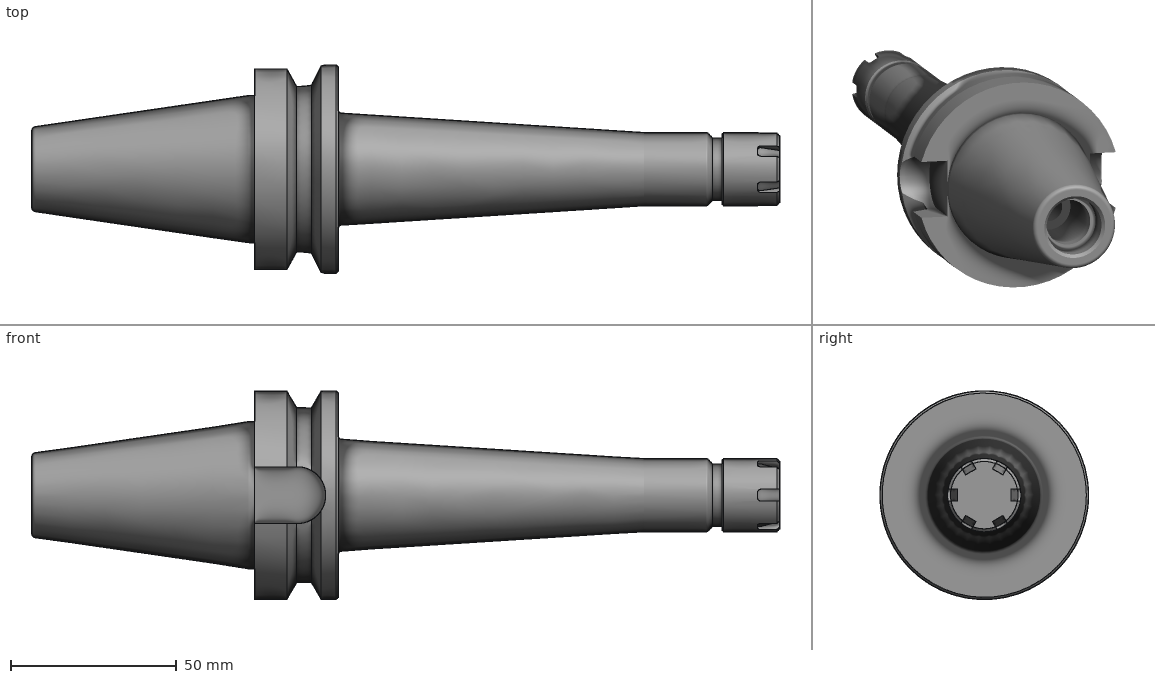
import cadquery as cq
import math

OVERALL_LENGTH = 225.5

TAPER_LENGTH = 65.5
GAUGE_RADIUS = 44.5 / 2
TAPER_RATE = 7 / 24 / 2
SMALL_END_RADIUS = GAUGE_RADIUS - TAPER_RATE * TAPER_LENGTH
SMALL_END_FILLET = 1.4

FLANGE_START = 67.2
FLANGE_END = 92.5
FLANGE_RADIUS = 63.0 / 2
FLANGE_EDGE_CHAMFER = 0.7
GROOVE_RADIUS = 26.4
GROOVE_FLOOR_START = 79.8
GROOVE_FLOOR_END = 84.3
GROOVE_FLANK_ANGLE = 30.0
GROOVE_FLANK_RUN = (FLANGE_RADIUS - GROOVE_RADIUS) * math.tan(math.radians(GROOVE_FLANK_ANGLE))

DRIVE_SLOT_WIDTH = 17.1
DRIVE_SLOT_FLOOR = GAUGE_RADIUS
DRIVE_SLOT_END = 88.6
DRIVE_SLOT_ANGLES = (90, 270)

EXTENSION_ROOT_RADIUS = 17.0
ROOT_FILLET = 1.0
NOSE_START = 184.7
NECK_START = 205.2
NOSE_RADIUS = 22.0 / 2
NECK_RADIUS = 19.0 / 2
NOSE_CHAMFER_ANGLE = math.radians(45)
NOSE_END = NECK_START - (NOSE_RADIUS - NECK_RADIUS) / math.tan(NOSE_CHAMFER_ANGLE)
NOSE_FILLET = 1.0
NOSE_FILLET_SETBACK = NOSE_FILLET * math.tan(NOSE_CHAMFER_ANGLE / 2)

MOUTH_RADIUS = 19.0 / 2
ENTRY_BORE_RADIUS = 17.1 / 2
ENTRY_BORE_DEPTH = 8.0
THREAD_BORE_RADIUS = 13.8 / 2
THREAD_BORE_DEPTH = 31.5
CORE_BORE_RADIUS = 8.5 / 2
CORE_BORE_DEPTH = 45.0

NUT_START = 208.1
NUT_RADIUS = NOSE_RADIUS
NUT_BACK_CHAMFER = 0.5
NUT_FRONT_CHAMFER = 1.0
WRENCH_SLOT_COUNT = 6
FIRST_WRENCH_SLOT_ANGLE = 90
WRENCH_SLOT_WIDTH = 3.5
WRENCH_SLOT_LENGTH = 6.8
WRENCH_SLOT_INNER_DEPTH = 1.0
WRENCH_SLOT_OUTER_DEPTH = 3.0
WRENCH_SLOT_CORNER_RADIUS = 1.1


def revolve_about_x(profile):
    """Turn a closed (x, radius) profile in the XY plane around the X axis."""
    return profile.close().revolve(360, (0, 0, 0), (1, 0, 0))


def make_shank_and_extension():
    """Solid of revolution: taper, grooved flange, tapered extension, nose and neck."""
    profile = (
        cq.Workplane("XY")
        .moveTo(0, 0)
        .lineTo(0, SMALL_END_RADIUS)
        .lineTo(TAPER_LENGTH, GAUGE_RADIUS)
        .lineTo(FLANGE_START, GAUGE_RADIUS)
        .lineTo(FLANGE_START, FLANGE_RADIUS)
        .lineTo(GROOVE_FLOOR_START - GROOVE_FLANK_RUN, FLANGE_RADIUS)
        .lineTo(GROOVE_FLOOR_START, GROOVE_RADIUS)
        .lineTo(GROOVE_FLOOR_END, GROOVE_RADIUS)
        .lineTo(GROOVE_FLOOR_END + GROOVE_FLANK_RUN, FLANGE_RADIUS)
        .lineTo(FLANGE_END - FLANGE_EDGE_CHAMFER, FLANGE_RADIUS)
        .lineTo(FLANGE_END, FLANGE_RADIUS - FLANGE_EDGE_CHAMFER)
        .lineTo(FLANGE_END, EXTENSION_ROOT_RADIUS + ROOT_FILLET)
        .radiusArc((FLANGE_END + ROOT_FILLET, EXTENSION_ROOT_RADIUS), -ROOT_FILLET)
        .lineTo(NOSE_START, NOSE_RADIUS)
        .lineTo(NOSE_END - NOSE_FILLET_SETBACK, NOSE_RADIUS)
        .radiusArc(
            (
                NOSE_END + NOSE_FILLET_SETBACK * math.cos(NOSE_CHAMFER_ANGLE),
                NOSE_RADIUS - NOSE_FILLET_SETBACK * math.sin(NOSE_CHAMFER_ANGLE),
            ),
            NOSE_FILLET,
        )
        .lineTo(NECK_START, NECK_RADIUS)
        .lineTo(NUT_START, NECK_RADIUS)
        .lineTo(NUT_START, 0)
    )
    return revolve_about_x(profile).faces("<X").edges().fillet(SMALL_END_FILLET)


def make_stepped_bore():
    """Cutter for the blind bore, with a chamfered mouth and two steps."""
    profile = (
        cq.Workplane("XY")
        .moveTo(0, 0)
        .lineTo(0, MOUTH_RADIUS)
        .lineTo(MOUTH_RADIUS - ENTRY_BORE_RADIUS, ENTRY_BORE_RADIUS)
        .lineTo(ENTRY_BORE_DEPTH, ENTRY_BORE_RADIUS)
        .lineTo(ENTRY_BORE_DEPTH, THREAD_BORE_RADIUS)
        .lineTo(THREAD_BORE_DEPTH, THREAD_BORE_RADIUS)
        .lineTo(THREAD_BORE_DEPTH, CORE_BORE_RADIUS)
        .lineTo(CORE_BORE_DEPTH, CORE_BORE_RADIUS)
        .lineTo(CORE_BORE_DEPTH, 0)
    )
    return revolve_about_x(profile)


def make_drive_slot(angle):
    """Cutter for one drive slot, open toward the taper and rounded at its far end."""
    half_width = DRIVE_SLOT_WIDTH / 2
    arc_center = DRIVE_SLOT_END - half_width
    cutter = (
        cq.Workplane("XY", origin=(0, 0, DRIVE_SLOT_FLOOR))
        .moveTo(FLANGE_START, -half_width)
        .lineTo(arc_center, -half_width)
        .threePointArc((DRIVE_SLOT_END, 0), (arc_center, half_width))
        .lineTo(FLANGE_START, half_width)
        .close()
        .extrude(FLANGE_RADIUS - DRIVE_SLOT_FLOOR)
    )
    return cutter.rotate((0, 0, 0), (1, 0, 0), angle)


def make_holder():
    """Tool holder: turned body with its bore and two opposite drive slots."""
    holder = make_shank_and_extension().cut(make_stepped_bore())
    for angle in DRIVE_SLOT_ANGLES:
        holder = holder.cut(make_drive_slot(angle))
    return holder


def make_wrench_slot(angle):
    """Cutter for one nut slot: floor sloping down to the end face, rounded inner corners."""
    slot_end = OVERALL_LENGTH - WRENCH_SLOT_LENGTH
    cutter = (
        cq.Workplane("XZ")
        .moveTo(slot_end, NUT_RADIUS - WRENCH_SLOT_INNER_DEPTH)
        .lineTo(slot_end, NUT_RADIUS)
        .lineTo(OVERALL_LENGTH, NUT_RADIUS)
        .lineTo(OVERALL_LENGTH, NUT_RADIUS - WRENCH_SLOT_OUTER_DEPTH)
        .close()
        .extrude(WRENCH_SLOT_WIDTH / 2, both=True)
        .faces("<X")
        .edges("|Z")
        .fillet(WRENCH_SLOT_CORNER_RADIUS)
    )
    return cutter.rotate((0, 0, 0), (1, 0, 0), angle)


def make_nut():
    """Clamping nut: chamfered cylinder with evenly spaced wrench slots in its end."""
    nut = (
        cq.Workplane("YZ", origin=(NUT_START, 0, 0))
        .circle(NUT_RADIUS)
        .extrude(OVERALL_LENGTH - NUT_START)
        .faces("<X")
        .chamfer(NUT_BACK_CHAMFER)
        .faces(">X")
        .chamfer(NUT_FRONT_CHAMFER)
    )
    for index in range(WRENCH_SLOT_COUNT):
        nut = nut.cut(make_wrench_slot(FIRST_WRENCH_SLOT_ANGLE + index * 360 / WRENCH_SLOT_COUNT))
    return nut


holder = make_holder()
nut = make_nut()

result = cq.Compound.makeCompound([holder.val(), nut.val()])